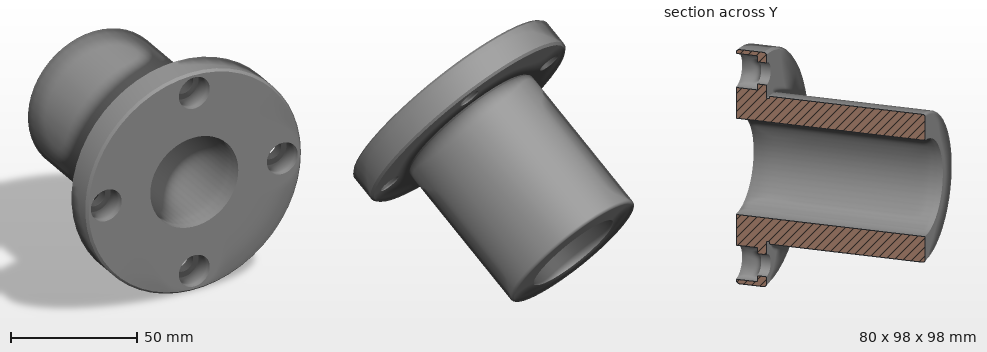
import cadquery as cq

total_length = 80.0
flange_diameter = 98.0
flange_thickness = 13.0
body_diameter = 61.9
bore_diameter = 40.0
end_round_radius = 1.2
flange_chamfer = 1.0

groove_width = 1.0
groove_depth = 1.0

hole_count = 4
hole_diameter = 9.0
bolt_circle_diameter = 80.0
counterbore_diameter = 14.0
counterbore_floor_thickness = 4.0

flange_face_x = total_length - flange_thickness


def cylinder_along_x(start_x, length, diameter):
    """Solid cylinder on the X axis."""
    return cq.Workplane("YZ", origin=(start_x, 0, 0)).circle(diameter / 2).extrude(length)


def make_body():
    """Sleeve with a rounded free end and a relief groove at the flange."""
    body = cylinder_along_x(0, flange_face_x - groove_width, body_diameter)
    body = body.faces("<X").edges().fillet(end_round_radius)
    groove_floor = cylinder_along_x(
        flange_face_x - groove_width, groove_width, body_diameter - 2 * groove_depth
    )
    return body.union(groove_floor)


def make_flange():
    """Round flange with both rims chamfered."""
    flange = cylinder_along_x(flange_face_x, flange_thickness, flange_diameter)
    return flange.faces("<X or >X").edges().chamfer(flange_chamfer)


def hole_pattern(start_x, diameter):
    """Equally spaced cutters on the bolt circle, from start_x to the flange's outer face."""
    return (
        cq.Workplane("YZ", origin=(start_x, 0, 0))
        .polarArray(bolt_circle_diameter / 2, 0, 360, hole_count)
        .circle(diameter / 2)
        .extrude(total_length - start_x)
    )


bore = cylinder_along_x(0, total_length, bore_diameter)
through_holes = hole_pattern(flange_face_x, hole_diameter)
counterbores = hole_pattern(flange_face_x + counterbore_floor_thickness, counterbore_diameter)

result = make_body().union(make_flange()).cut(bore).cut(through_holes).cut(counterbores)